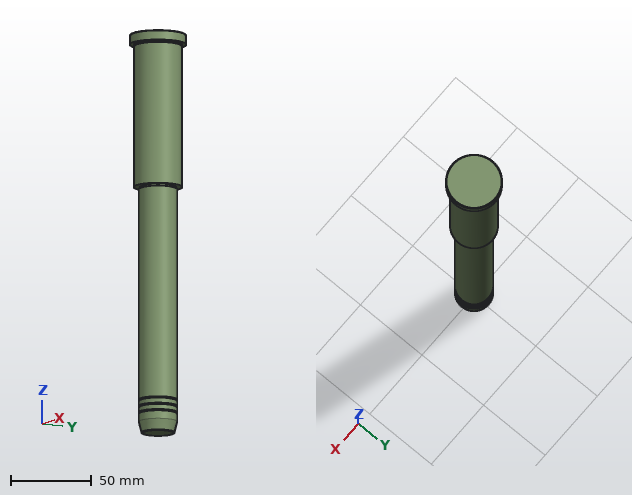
import cadquery as cq

total_height = 251.0

head_diameter = 35.0
head_height = 6.0
head_chamfer = 0.5

body_diameter = 30.0
body_length = 89.9
head_relief_width = 1.3
head_relief_depth = 0.5

shaft_diameter = 24.0
neck_diameter = 22.5
neck_length = 1.3

tip_height = 7.3
tip_diameter = 20.3
tip_chamfer = 0.5

groove_count = 3
groove_pitch = 4.0
groove_width = 1.0
groove_depth = 0.5
lowest_groove_z = 12.5

head_bottom_z = total_height - head_height
body_bottom_z = head_bottom_z - body_length


def cylinder(diameter, bottom_z, height):
    return cq.Workplane("XY").workplane(offset=bottom_z).circle(diameter / 2).extrude(height)


def ring_groove(outer_diameter, depth, bottom_z, width):
    """V-shaped ring cutter, deepest halfway across its width."""
    outer_radius = outer_diameter / 2
    profile = [
        (outer_radius, bottom_z),
        (outer_radius - depth, bottom_z + width / 2),
        (outer_radius, bottom_z + width),
    ]
    return cq.Workplane("XZ").polyline(profile).close().revolve(360, (0, 0, 0), (0, 1, 0))


def make_tip():
    tip = (
        cq.Workplane("XY")
        .circle(tip_diameter / 2)
        .workplane(offset=tip_height)
        .circle(shaft_diameter / 2)
        .loft()
    )
    return tip.faces("<Z").chamfer(tip_chamfer)


def make_shaft():
    shaft_top_z = body_bottom_z - neck_length
    shaft = cylinder(shaft_diameter, tip_height, shaft_top_z - tip_height)
    for index in range(groove_count):
        center_z = lowest_groove_z + index * groove_pitch
        bottom_z = center_z - groove_width / 2
        shaft = shaft.cut(ring_groove(shaft_diameter, groove_depth, bottom_z, groove_width))
    return shaft.union(cylinder(neck_diameter, shaft_top_z, neck_length))


def make_body():
    relief_bottom_z = head_bottom_z - head_relief_width
    relief = ring_groove(body_diameter, head_relief_depth, relief_bottom_z, head_relief_width)
    return cylinder(body_diameter, body_bottom_z, body_length).cut(relief)


def make_head():
    return cylinder(head_diameter, head_bottom_z, head_height).faces(">Z").chamfer(head_chamfer)


result = make_tip().union(make_shaft()).union(make_body()).union(make_head())